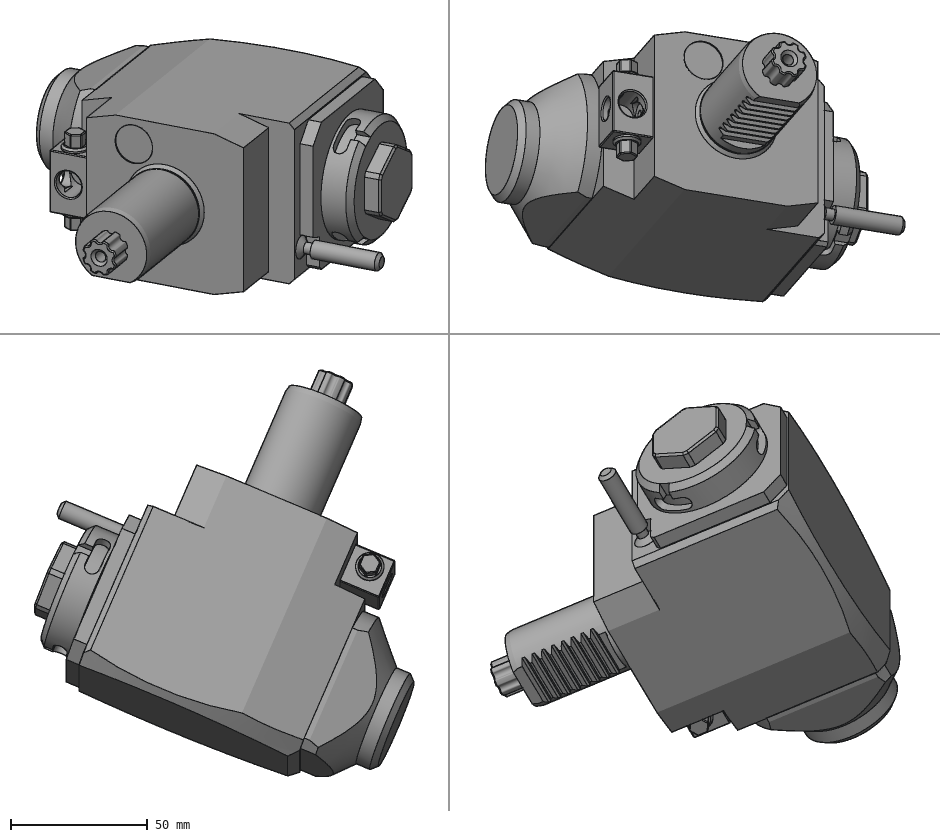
import cadquery as cq
import math


FLANGE_HALF_X = 32.0
FLANGE_HEIGHT = 21.0
HOUSING_LEFT = -44.0
HOUSING_RIGHT = 42.5
HOUSING_BACK = 85.0
HOUSING_HALF_Z = 32.0
TAPER_START = 20.0
TAPER_ANGLE = 15.6
RIGHT_CHAMFER = 2.2
LEFT_BACK_CHAMFER = 3.3
CROWN_RADIUS = 200.0
CROWN_CENTRE_X = 10.8
CROWN_TOP_SUM = 114.3
PLUG_X = -12.7
PLUG_Z = 21.7
PLUG_RADIUS = 7.6
PLUG_RECESS = 0.6

SPINDLE_Y = 55.0
HEAD_RADIUS = 33.5
HEAD_CONE_END = -50.0
HEAD_CONE_START = -63.2
HEAD_BACK = 80.8
HEAD_HALF_Z = 25.0
HEAD_SLOPE_START = -46.2
HEAD_SLOPE_ANGLE = 15.0
KNOB_RADIUS = 19.1
KNOB_END = -71.03
KNOB_CHAMFER = 2.4

PLATE_RIGHT = 47.8
PLATE_HALF = 29.3
PLATE_CHAMFER = 6.9
PIN_POCKET_DEPTH = 5.5
PIN_POCKET_TOP = -13.9
PIN_POCKET_WALL_RUN = 2.0
COLLAR_RADIUS = 21.2
NUT_LEFT = 48.6
NUT_RIGHT = 61.0
NUT_RADIUS = 24.4
NUT_CHAMFER = 2.3
NUT_SLOT_COUNT = 3
NUT_SLOT_FIRST_ANGLE = 28.0
NUT_SLOT_X = 52.6
NUT_SLOT_LENGTH = 17.2
NUT_SLOT_WIDTH = 5.6
NUT_SLOT_FLOOR_RADIUS = 21.2
NUT_GROOVE_WIDTH = 4.5
NUT_GROOVE_DEPTH = 2.5
DRIVE_HEX_FLATS = 27.0
DRIVE_HEX_CORNER_RADIUS = 15.0
DRIVE_HEX_RIGHT = 67.6
DRIVE_HEX_CHAMFER = 0.8

PIN_Y = 26.5
PIN_Z = -19.0
PIN_RADIUS = 3.5
PIN_LEFT = 47.9
PIN_RIGHT = 75.35
PIN_CHAMFER = 1.3
PIN_NECK_RADIUS = 2.2
PIN_FLARE_RADIUS = 4.5
PIN_FLARE_LENGTH = 2.0

SHANK_RADIUS = 15.0
SHANK_LENGTH = 45.0
SHANK_END_TAPER = 2.3
SHANK_END_STEP = 0.5
FLANGE_CONE_RADIUS = 16.0
FLANGE_CONE_LENGTH = 1.3
RELIEF_RADIUS = 14.7
RELIEF_END = 2.2
RACK_FLAT_Z = -12.3
RACK_FLAT_START = 6.9
TOOTH_GAP_COUNT = 8
TOOTH_GAP_FIRST = 11.3
TOOTH_PITCH = 4.0
TOOTH_GAP_DEPTH = 1.9
TOOTH_GAP_ROOT = 1.0
TOOTH_FLANK_ANGLE = 30.0

SPLINE_LENGTH = 10.0
SPLINE_RADIUS = 7.0
SPLINE_LOBES = 8
SPLINE_GAP_RADIUS = 1.5
SPLINE_GAP_CENTRE = 7.3
SPLINE_LOBE_FILLET = 0.6
SPLINE_CHAMFER = 0.5
CENTRE_HOLE_RADIUS = 2.1
CENTRE_HOLE_MOUTH = 3.3
CENTRE_HOLE_DEPTH = 8.0

BLOCK_LEFT = -47.7
BLOCK_FRONT = 1.3
BLOCK_BACK = 16.3
BLOCK_HALF_Z = 12.4
BLOCK_CHAMFER = 0.4
PORT_X = -40.0
PORT_RADIUS = 5.2
PORT_MOUTH_RADIUS = 5.7
SIDE_PORT_RADIUS = 4.3
SIDE_PORT_MOUTH_RADIUS = 4.8
PORT_FLOOR = 14.0
SIDE_PORT_FLOOR = -34.5
FEED_RADIUS = 1.5
FEED_END = -33.0
CROSS_BORE_RADIUS = 4.0
CROSS_BORE_HALF_LENGTH = 4.5
SCREW_Y = 7.1
SCREW_TOP = 19.1
SCREW_HEX_FLATS = 7.0
SCREW_HEX_CORNER_RADIUS = 3.9
SCREW_HEX_CHAMFER = 0.4
WASHER_RADIUS = 5.2
WASHER_TOP_RADIUS = 4.3
WASHER_RIM = 0.7
WASHER_HEIGHT = 1.5


def box(x0, x1, y0, y1, z0, z1):
    """Box between two opposite corners."""
    return cq.Workplane("XY").box(x1 - x0, y1 - y0, z1 - z0, centered=False).translate((x0, y0, z0))


def turned_along_x(profile, y, z=0.0):
    """Solid of revolution about a line parallel to X; profile points are (x, radius)."""
    turned = cq.Workplane("XY").polyline(profile).close().revolve(360, (0, 0, 0), (1, 0, 0))
    return turned.translate((0, y, z))


def turned_along_y(profile, x=0.0):
    """Solid of revolution about a line parallel to Y; profile points are (radius, y)."""
    turned = cq.Workplane("XY").polyline(profile).close().revolve(360, (0, 0, 0), (0, 1, 0))
    return turned.translate((x, 0, 0))


def turned_along_z(profile):
    """Solid of revolution about the Z axis; profile points are (radius, z)."""
    return cq.Workplane("XZ").polyline(profile).close().revolve(360, (0, 0, 0), (0, 1, 0))


def hex_prism(flats, corner_radius, height, chamfer):
    """Hexagonal prism along Z with a corner on the Y axis, its corners turned down and top bevelled."""
    corner_diameter = flats / math.cos(math.radians(30))
    prism = cq.Workplane("XY").polygon(6, corner_diameter).extrude(height)
    prism = prism.rotate((0, 0, 0), (0, 0, 1), 30)
    turned = cq.Workplane("XY").circle(corner_radius).extrude(height)
    return prism.intersect(turned).faces(">Z").chamfer(chamfer)


def make_housing():
    slope = math.tan(math.radians(TAPER_ANGLE))
    left_half_z = HOUSING_HALF_Z - (-HOUSING_LEFT - TAPER_START) * slope
    flange_half_z = HOUSING_HALF_Z - (FLANGE_HALF_X - TAPER_START) * slope
    chamfer_half_z = HOUSING_HALF_Z - RIGHT_CHAMFER

    upper_outline = [
        (HOUSING_LEFT, left_half_z),
        (-TAPER_START, HOUSING_HALF_Z),
        (HOUSING_RIGHT - RIGHT_CHAMFER, HOUSING_HALF_Z),
        (HOUSING_RIGHT, chamfer_half_z),
    ]
    flange_outline = [
        (-FLANGE_HALF_X, flange_half_z),
        (-TAPER_START, HOUSING_HALF_Z),
        (TAPER_START, HOUSING_HALF_Z),
        (FLANGE_HALF_X, flange_half_z),
    ]

    def mirrored_prism(outline, y0, y1):
        points = outline + [(x, -z) for x, z in reversed(outline)]
        prism = cq.Workplane("XZ").polyline(points).close().extrude(-(y1 - y0))
        return prism.translate((0, y0, 0))

    upper = mirrored_prism(upper_outline, FLANGE_HEIGHT, HOUSING_BACK)
    upper = upper.edges("<X and >Y").chamfer(LEFT_BACK_CHAMFER)
    upper = crown_back_edges(upper)
    flange = mirrored_prism(flange_outline, 0, FLANGE_HEIGHT)
    plug = cq.Workplane("XZ").center(PLUG_X, PLUG_Z).circle(PLUG_RADIUS).extrude(-PLUG_RECESS)
    return upper.union(flange).cut(plug)


def crown_back_edges(body):
    """Bevel the two long back edges at 45 degrees with large cylinders bulging outward at mid length."""
    centre = CROWN_TOP_SUM / 2 - CROWN_RADIUS / math.sqrt(2)
    reach = CROWN_RADIUS / math.sqrt(2)
    for side in (1, -1):
        base = cq.Vector(CROWN_CENTRE_X, centre - reach, side * (centre + reach))
        crown = cq.Solid.makeCylinder(CROWN_RADIUS, 2 * CROWN_RADIUS, base, cq.Vector(0, 1, -side))
        body = body.intersect(cq.Workplane(crown))
    return body


def make_head():
    cone = turned_along_x(
        [
            (HEAD_CONE_START, 0),
            (HEAD_CONE_START, KNOB_RADIUS),
            (HEAD_CONE_END, HEAD_RADIUS),
            (HOUSING_LEFT, HEAD_RADIUS),
            (HOUSING_LEFT, 0),
        ],
        SPINDLE_Y,
    )
    slope_drop = (HEAD_SLOPE_START - HEAD_CONE_START) * math.tan(math.radians(HEAD_SLOPE_ANGLE))
    half_outline = [
        (HEAD_CONE_START, HEAD_HALF_Z - slope_drop),
        (HEAD_SLOPE_START, HEAD_HALF_Z),
        (HOUSING_LEFT, HEAD_HALF_Z),
    ]
    outline = half_outline + [(x, -z) for x, z in reversed(half_outline)]
    envelope = cq.Workplane("XZ").polyline(outline).close().extrude(-HEAD_BACK)
    knob = turned_along_x(
        [
            (KNOB_END, 0),
            (KNOB_END, KNOB_RADIUS - KNOB_CHAMFER),
            (KNOB_END + KNOB_CHAMFER, KNOB_RADIUS),
            (HEAD_CONE_START, KNOB_RADIUS),
            (HEAD_CONE_START, 0),
        ],
        SPINDLE_Y,
    )
    return cone.intersect(envelope).union(knob)


def make_cover_plate():
    plate = box(
        HOUSING_RIGHT,
        PLATE_RIGHT,
        SPINDLE_Y - PLATE_HALF,
        SPINDLE_Y + PLATE_HALF,
        -PLATE_HALF,
        PLATE_HALF,
    )
    plate = plate.edges("|X").chamfer(PLATE_CHAMFER)
    front = SPINDLE_Y - PLATE_HALF
    floor = front + PIN_POCKET_DEPTH
    pocket_outline = [
        (front, PIN_POCKET_TOP),
        (floor, PIN_POCKET_TOP - PIN_POCKET_WALL_RUN),
        (floor, -PLATE_HALF),
        (front, -PLATE_HALF),
    ]
    pocket = cq.Workplane("YZ").polyline(pocket_outline).close().extrude(PLATE_RIGHT)
    return plate.cut(pocket)


def make_nut():
    nut = turned_along_x(
        [
            (PLATE_RIGHT, 0),
            (PLATE_RIGHT, COLLAR_RADIUS),
            (NUT_LEFT, COLLAR_RADIUS),
            (NUT_LEFT, NUT_RADIUS),
            (NUT_RIGHT - NUT_CHAMFER, NUT_RADIUS),
            (NUT_RIGHT, NUT_RADIUS - NUT_CHAMFER),
            (NUT_RIGHT, 0),
        ],
        0,
    )
    slot = make_nut_slot()
    for index in range(NUT_SLOT_COUNT):
        angle = NUT_SLOT_FIRST_ANGLE + index * 360 / NUT_SLOT_COUNT
        nut = nut.cut(slot.rotate((0, 0, 0), (1, 0, 0), angle))
    drive_length = DRIVE_HEX_RIGHT - NUT_RIGHT
    drive = hex_prism(DRIVE_HEX_FLATS, DRIVE_HEX_CORNER_RADIUS, drive_length, DRIVE_HEX_CHAMFER)
    drive = drive.rotate((0, 0, 0), (0, 1, 0), 90).rotate((0, 0, 0), (1, 0, 0), 90)
    drive = drive.translate((NUT_RIGHT, 0, 0))
    return nut.union(drive).translate((0, SPINDLE_Y, 0))


def make_nut_slot():
    """Slot along the rim, centred on +Z, its floor concentric; a shallower groove runs to the end face."""
    slot = (
        cq.Workplane("XY", origin=(NUT_SLOT_X, 0, 0))
        .slot2D(NUT_SLOT_LENGTH, NUT_SLOT_WIDTH, 90)
        .extrude(NUT_RADIUS)
    )
    core = cq.Workplane("YZ").circle(NUT_SLOT_FLOOR_RADIUS).extrude(NUT_RIGHT)
    slot = slot.cut(core)
    groove = box(
        NUT_SLOT_X,
        NUT_RIGHT,
        -NUT_GROOVE_WIDTH / 2,
        NUT_GROOVE_WIDTH / 2,
        NUT_RADIUS - NUT_GROOVE_DEPTH,
        NUT_RADIUS,
    )
    return slot.union(groove)


def make_pin():
    return turned_along_x(
        [
            (HOUSING_RIGHT, 0),
            (HOUSING_RIGHT, PIN_FLARE_RADIUS),
            (HOUSING_RIGHT + PIN_FLARE_LENGTH, PIN_NECK_RADIUS),
            (PIN_LEFT, PIN_NECK_RADIUS),
            (PIN_LEFT, PIN_RADIUS),
            (PIN_RIGHT - PIN_CHAMFER, PIN_RADIUS),
            (PIN_RIGHT, PIN_RADIUS - PIN_CHAMFER),
            (PIN_RIGHT, 0),
        ],
        PIN_Y,
        PIN_Z,
    )


def make_shank():
    shank = turned_along_y(
        [
            (0, 0),
            (FLANGE_CONE_RADIUS, 0),
            (RELIEF_RADIUS, -FLANGE_CONE_LENGTH),
            (RELIEF_RADIUS, -RELIEF_END),
            (SHANK_RADIUS, -RELIEF_END),
            (SHANK_RADIUS, SHANK_END_TAPER - SHANK_LENGTH),
            (SHANK_RADIUS - SHANK_END_STEP, -SHANK_LENGTH),
            (0, -SHANK_LENGTH),
        ]
    )
    flat = box(-SHANK_RADIUS, SHANK_RADIUS, -SHANK_LENGTH, -RACK_FLAT_START, -SHANK_RADIUS, RACK_FLAT_Z)
    shank = shank.cut(flat)
    root_half = TOOTH_GAP_ROOT / 2
    mouth_half = root_half + TOOTH_GAP_DEPTH * math.tan(math.radians(TOOTH_FLANK_ANGLE))
    gap_outline = [
        (-mouth_half, RACK_FLAT_Z),
        (-root_half, RACK_FLAT_Z + TOOTH_GAP_DEPTH),
        (root_half, RACK_FLAT_Z + TOOTH_GAP_DEPTH),
        (mouth_half, RACK_FLAT_Z),
    ]
    gap = cq.Workplane("YZ").polyline(gap_outline).close().extrude(SHANK_RADIUS, both=True)
    for index in range(TOOTH_GAP_COUNT):
        shank = shank.cut(gap.translate((0, -TOOTH_GAP_FIRST - index * TOOTH_PITCH, 0)))
    return shank


def make_spline():
    tip = -SHANK_LENGTH - SPLINE_LENGTH
    gaps = (
        cq.Workplane("XZ")
        .polarArray(SPLINE_GAP_CENTRE, 0, 360, SPLINE_LOBES)
        .circle(SPLINE_GAP_RADIUS)
        .extrude(SPLINE_LENGTH)
    )
    spline = cq.Workplane("XZ").circle(SPLINE_RADIUS).extrude(SPLINE_LENGTH).cut(gaps)
    spline = spline.edges("|Y").fillet(SPLINE_LOBE_FILLET)
    spline = spline.faces("<Y").chamfer(SPLINE_CHAMFER).translate((0, -SHANK_LENGTH, 0))
    centre_hole = turned_along_y(
        [
            (0, tip),
            (CENTRE_HOLE_MOUTH, tip),
            (CENTRE_HOLE_RADIUS, tip + CENTRE_HOLE_MOUTH - CENTRE_HOLE_RADIUS),
            (CENTRE_HOLE_RADIUS, tip + CENTRE_HOLE_DEPTH),
            (0, tip + CENTRE_HOLE_DEPTH),
        ]
    )
    return spline.cut(centre_hole)


def make_coolant_block():
    block = box(BLOCK_LEFT, -FLANGE_HALF_X, BLOCK_FRONT, BLOCK_BACK, -BLOCK_HALF_Z, BLOCK_HALF_Z)
    block = block.edges("not >X").chamfer(BLOCK_CHAMFER)
    port_bevel = PORT_MOUTH_RADIUS - PORT_RADIUS
    port = turned_along_y(
        [
            (0, BLOCK_FRONT),
            (PORT_MOUTH_RADIUS, BLOCK_FRONT),
            (PORT_RADIUS, BLOCK_FRONT + port_bevel),
            (PORT_RADIUS, PORT_FLOOR),
            (0, PORT_FLOOR),
        ],
        PORT_X,
    )
    side_bevel = SIDE_PORT_MOUTH_RADIUS - SIDE_PORT_RADIUS
    side_port = turned_along_x(
        [
            (BLOCK_LEFT, 0),
            (BLOCK_LEFT, SIDE_PORT_MOUTH_RADIUS),
            (BLOCK_LEFT + side_bevel, SIDE_PORT_RADIUS),
            (SIDE_PORT_FLOOR, SIDE_PORT_RADIUS),
            (SIDE_PORT_FLOOR, FEED_RADIUS),
            (FEED_END, FEED_RADIUS),
            (FEED_END, 0),
        ],
        (BLOCK_FRONT + BLOCK_BACK) / 2,
    )
    cross_bore = (
        cq.Workplane("XY")
        .center(PORT_X, SCREW_Y)
        .circle(CROSS_BORE_RADIUS)
        .extrude(CROSS_BORE_HALF_LENGTH, both=True)
    )
    block = block.cut(port).cut(side_port).cut(cross_bore)
    screw = make_plug_screw()
    return block.union(screw).union(screw.mirror("XY"))


def make_plug_screw():
    washer = turned_along_z(
        [
            (0, 0),
            (WASHER_RADIUS, 0),
            (WASHER_RADIUS, WASHER_RIM),
            (WASHER_TOP_RADIUS, WASHER_HEIGHT),
            (0, WASHER_HEIGHT),
        ]
    )
    head_height = SCREW_TOP - BLOCK_HALF_Z
    head = hex_prism(SCREW_HEX_FLATS, SCREW_HEX_CORNER_RADIUS, head_height, SCREW_HEX_CHAMFER)
    return washer.union(head).translate((PORT_X, SCREW_Y, BLOCK_HALF_Z))


result = (
    make_housing()
    .union(make_head())
    .union(make_cover_plate())
    .union(make_nut())
    .union(make_pin())
    .union(make_shank())
    .union(make_spline())
    .union(make_coolant_block())
)